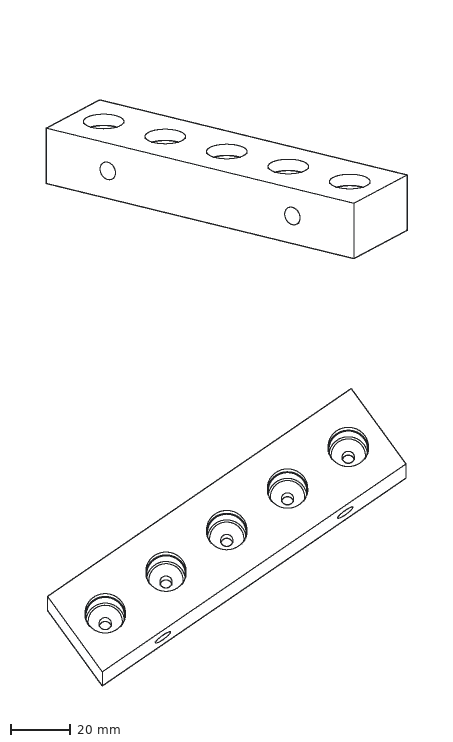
import cadquery as cq
import math

LENGTH = 125.0
WIDTH = 32.0
HEIGHT = 20.0

POCKET_COUNT = 5
POCKET_PITCH = LENGTH / POCKET_COUNT
MOUTH_DIAMETER = 13.6
MOUTH_DEPTH = 4.0
BORE_DIAMETER = 13.0
BORE_DEPTH = 12.0
CONE_DIAMETER = 11.5
DRAIN_DIAMETER = 4.1
CONE_ANGLE = 114.0

CROSS_HOLE_DIAMETER = 6.2
CROSS_HOLE_SPACING = 75.0


def make_block():
    """Plain block centred in X and Y, standing on Z = 0."""
    return cq.Workplane("XY").box(LENGTH, WIDTH, HEIGHT, centered=(True, True, False))


def make_pocket_cutter():
    """Stepped pocket on the Z axis: mouth, bore, conical seat and drain hole."""
    mouth_floor = HEIGHT - MOUTH_DEPTH
    bore_floor = HEIGHT - BORE_DEPTH
    cone_height = (CONE_DIAMETER - DRAIN_DIAMETER) / 2 / math.tan(math.radians(CONE_ANGLE / 2))
    half_profile = [
        (0, 0),
        (DRAIN_DIAMETER / 2, 0),
        (DRAIN_DIAMETER / 2, bore_floor - cone_height),
        (CONE_DIAMETER / 2, bore_floor),
        (BORE_DIAMETER / 2, bore_floor),
        (BORE_DIAMETER / 2, mouth_floor),
        (MOUTH_DIAMETER / 2, mouth_floor),
        (MOUTH_DIAMETER / 2, HEIGHT),
        (0, HEIGHT),
    ]
    return cq.Workplane("XZ").polyline(half_profile).close().revolve(360, (0, 0), (0, 1))


def make_cross_hole_cutter(x):
    """Cylinder along Y at mid height."""
    return (
        cq.Workplane("XZ")
        .center(x, HEIGHT / 2)
        .circle(CROSS_HOLE_DIAMETER / 2)
        .extrude(WIDTH / 2, both=True)
    )


result = make_block()

pocket_cutter = make_pocket_cutter()
for index in range(POCKET_COUNT):
    pocket_x = (index - (POCKET_COUNT - 1) / 2) * POCKET_PITCH
    result = result.cut(pocket_cutter.translate((pocket_x, 0, 0)))

for side in (-1, 1):
    result = result.cut(make_cross_hole_cutter(side * CROSS_HOLE_SPACING / 2))